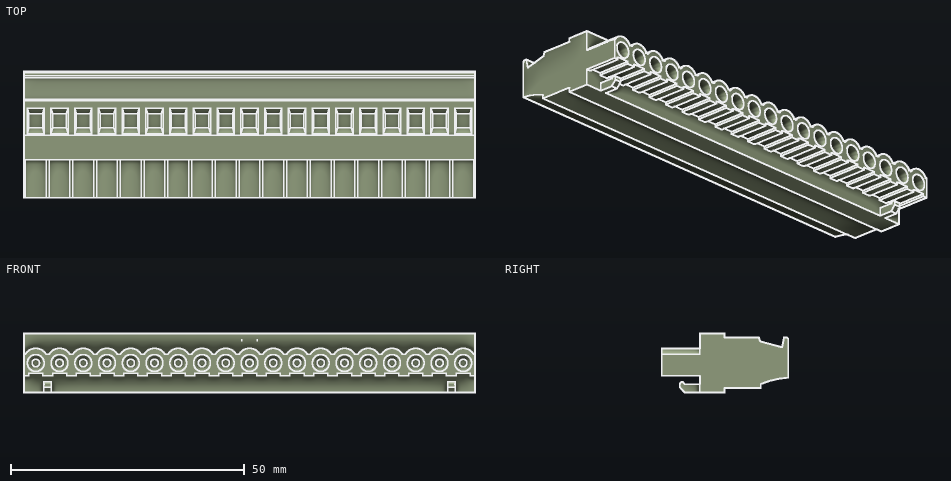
import cadquery as cq

POLES = 19
PITCH = 5.08
LENGTH = POLES * PITCH
DEPTH = 27.1
HEIGHT = 12.7

COLLAR_FRONT = 8.2
COLLAR_BACK = 13.45
BODY_TOP = 11.85
BODY_BOTTOM = 1.0
BODY_TOP_END = 20.8
TOP_SLOPE_START = (21.1, 11.0)
TOP_SLOPE_END = (25.75, 9.75)
RIB_FRONT = 26.15
RIB_CHAMFER = 0.3
BELLY_START = (21.25, 1.85)
BELLY_MIDDLE = (23.8, 2.7)
BACK_BOTTOM = 3.2

SOCKET_Z = 6.35
BARREL_TOP = 9.5
VALLEY_WIDTH = 0.6
TONGUE_SHOULDER = 8.2
TONGUE_BOTTOM = 3.6
NOTCH_WIDTH = 3.0
NOTCH_HEIGHT = 0.55
SOCKET_MOUTH_DIAMETER = 3.6
SOCKET_FLOOR_DIAMETER = 1.6
SOCKET_DEPTH = 3.0

POCKET_FRONT = 13.7
POCKET_BACK = 19.2
POCKET_WIDTH = 3.7
POCKET_FLOOR_FRONT = 15.0
POCKET_FLOOR_BACK = 18.0
POCKET_FLOOR_WIDTH = 2.9
POCKET_DEPTH = 1.3

LATCH_WIDTH = 1.6
LATCH_INSET = 5.08
LATCH_TIP = 3.85
LATCH_TOP = 1.85
BARB_BACK = 4.9
BARB_PEAK = (4.45, 2.4)
BARB_ROUND_MIDDLE = (4.0, 2.1)
BARB_ROUND_END = 1.6
LATCH_NOSE_BOTTOM = 1.2
LATCH_CHAMFER_END = 4.95


def pole_centres():
    return [(index + 0.5) * PITCH for index in range(POLES)]


def side_section():
    """Sketch plane whose local axes are Y and Z, extruding toward +X."""
    return cq.Workplane("YZ")


def make_housing():
    return (
        side_section()
        .moveTo(COLLAR_FRONT, 0)
        .lineTo(COLLAR_FRONT, HEIGHT)
        .lineTo(COLLAR_BACK, HEIGHT)
        .lineTo(COLLAR_BACK, BODY_TOP)
        .lineTo(BODY_TOP_END, BODY_TOP)
        .lineTo(*TOP_SLOPE_START)
        .lineTo(*TOP_SLOPE_END)
        .lineTo(RIB_FRONT, BODY_TOP)
        .lineTo(DEPTH - RIB_CHAMFER, BODY_TOP)
        .lineTo(DEPTH, BODY_TOP - RIB_CHAMFER)
        .lineTo(DEPTH, BACK_BOTTOM)
        .threePointArc(BELLY_MIDDLE, BELLY_START)
        .lineTo(BELLY_START[0], BODY_BOTTOM)
        .lineTo(COLLAR_BACK, BODY_BOTTOM)
        .lineTo(COLLAR_BACK, 0)
        .close()
        .extrude(LENGTH)
    )


def make_tongue():
    """Front tongue with one rounded barrel per pole, notched along its underside."""
    barrel_half_width = (PITCH - VALLEY_WIDTH) / 2
    outline = cq.Workplane("XZ").moveTo(0, TONGUE_BOTTOM).lineTo(0, TONGUE_SHOULDER)
    for centre in pole_centres():
        outline = (
            outline.lineTo(centre - barrel_half_width, TONGUE_SHOULDER)
            .threePointArc((centre, BARREL_TOP), (centre + barrel_half_width, TONGUE_SHOULDER))
        )
    outline = outline.lineTo(LENGTH, TONGUE_SHOULDER)
    tongue = outline.lineTo(LENGTH, TONGUE_BOTTOM).close().extrude(-COLLAR_FRONT)
    notches = (
        cq.Workplane("XZ")
        .pushPoints([(centre, TONGUE_BOTTOM) for centre in pole_centres()])
        .rect(NOTCH_WIDTH, 2 * NOTCH_HEIGHT)
        .extrude(-COLLAR_FRONT)
    )
    return tongue.cut(notches)


def make_socket(centre):
    """Tapered contact socket, narrowing from the tongue tip inward."""
    return cq.Workplane(
        obj=cq.Solid.makeCone(
            SOCKET_MOUTH_DIAMETER / 2,
            SOCKET_FLOOR_DIAMETER / 2,
            SOCKET_DEPTH,
            pnt=cq.Vector(centre, 0, SOCKET_Z),
            dir=cq.Vector(0, 1, 0),
        )
    )


def make_pocket(centre):
    """Funnel pocket with four sloping walls and a flat floor."""
    mouth_y = (POCKET_FRONT + POCKET_BACK) / 2
    floor_y = (POCKET_FLOOR_FRONT + POCKET_FLOOR_BACK) / 2
    return (
        cq.Workplane("XY", origin=(centre, mouth_y, BODY_TOP))
        .rect(POCKET_WIDTH, POCKET_BACK - POCKET_FRONT)
        .workplane(offset=-POCKET_DEPTH)
        .center(0, floor_y - mouth_y)
        .rect(POCKET_FLOOR_WIDTH, POCKET_FLOOR_BACK - POCKET_FLOOR_FRONT)
        .loft(ruled=True)
    )


def make_latch(centre):
    """Latch hook reaching forward from the collar, with a barb on its tip."""
    return (
        side_section()
        .workplane(offset=centre - LATCH_WIDTH / 2)
        .moveTo(COLLAR_FRONT, 0)
        .lineTo(COLLAR_FRONT, LATCH_TOP)
        .lineTo(BARB_BACK, LATCH_TOP)
        .lineTo(*BARB_PEAK)
        .threePointArc(BARB_ROUND_MIDDLE, (LATCH_TIP, BARB_ROUND_END))
        .lineTo(LATCH_TIP, LATCH_NOSE_BOTTOM)
        .lineTo(LATCH_CHAMFER_END, 0)
        .close()
        .extrude(LATCH_WIDTH)
    )


result = make_housing().union(make_tongue())
for latch_centre in (LATCH_INSET, LENGTH - LATCH_INSET):
    result = result.union(make_latch(latch_centre))
for pole_centre in pole_centres():
    result = result.cut(make_socket(pole_centre))
    result = result.cut(make_pocket(pole_centre))